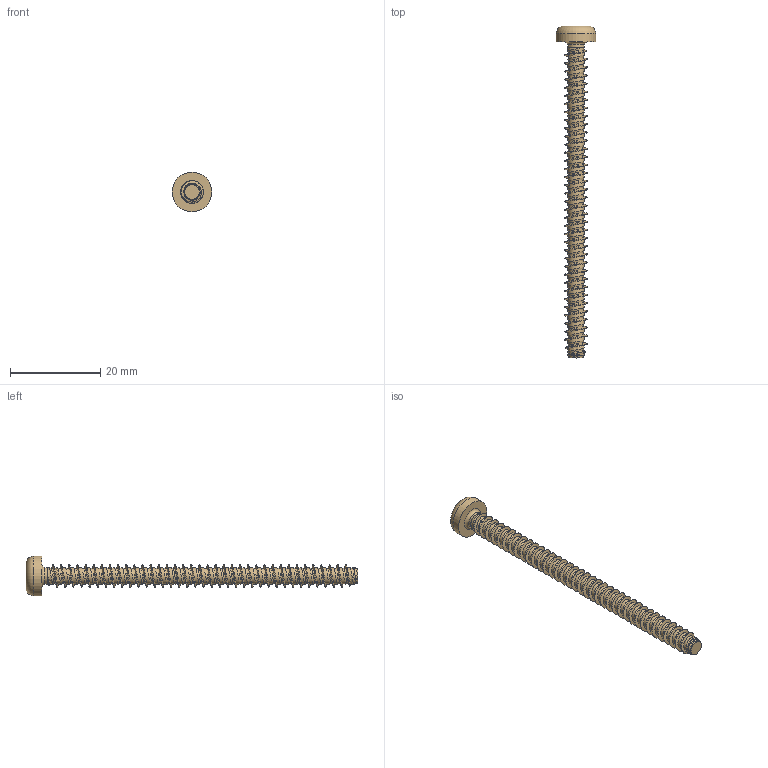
import cadquery as cq
import math

head_diameter = 8.8
head_height = 3.49
head_edge_radius = 1.75

shank_length = 70.0
neck_radius = 1.88
neck_length = 1.2
neck_fillet = 0.7
core_radius = 1.68
tip_chamfer = 0.05

pitch = 1.8
major_radius = 2.5
crest_width = 0.06
flank_half_angle = 11.0
crest_on_x_axis = 2.06
thread_root_radius = core_radius - 0.06
thread_start = 0.6
thread_end = 71.5

land_radius = 1.8
land_end_offset = 0.90
land_end_slope = 0.62

runout_margin = 0.06
runout_start = 1.0
full_thread_start = 2.3
full_thread_end = 67.2
ridge_end = 69.3
land_end = 69.9


def make_head_and_core():
    """Head, neck and core as one solid of revolution about the Y axis."""
    head_radius = head_diameter / 2
    arc_share = 1 - math.sqrt(0.5)
    edge_offset = head_edge_radius * arc_share
    fillet_offset = neck_fillet * arc_share
    profile = (
        cq.Workplane("XY")
        .moveTo(0, head_height)
        .lineTo(head_radius - head_edge_radius, head_height)
        .threePointArc(
            (head_radius - edge_offset, head_height - edge_offset),
            (head_radius, head_height - head_edge_radius),
        )
        .lineTo(head_radius, 0)
        .lineTo(neck_radius + neck_fillet, 0)
        .threePointArc(
            (neck_radius + fillet_offset, -fillet_offset),
            (neck_radius, -neck_fillet),
        )
        .lineTo(neck_radius, -neck_length)
        .lineTo(core_radius, -neck_length)
        .lineTo(core_radius, tip_chamfer - shank_length)
        .lineTo(core_radius - tip_chamfer, -shank_length)
        .lineTo(0, -shank_length)
        .close()
    )
    return profile.revolve(360, (0, 0, 0), (0, 1, 0))


def make_thread_section():
    """Ridge and land as (radius, distance toward the tip) from the middle of the ridge."""
    crest_half = crest_width / 2
    flank_slope = math.tan(math.radians(flank_half_angle))
    root_half = crest_half + (major_radius - thread_root_radius) * flank_slope
    land_foot = crest_half + (major_radius - land_radius) * flank_slope
    return [
        (thread_root_radius, -root_half),
        (major_radius, -crest_half),
        (major_radius, crest_half),
        (land_radius, land_foot),
        (land_radius, land_end_offset),
        (thread_root_radius, land_end_offset + land_end_slope),
    ]


def make_untrimmed_thread():
    """Thread section swept along the helix, with its axis turned onto -Y."""
    path = cq.Workplane(cq.Wire.makeHelix(pitch, thread_end - thread_start, core_radius))
    thread = cq.Workplane("XZ").polyline(make_thread_section()).close().sweep(path, isFrenet=True)
    start_angle = 360 * (thread_start - crest_on_x_axis) / pitch
    return (
        thread.rotate((0, 0, 0), (0, 0, 1), start_angle)
        .translate((0, 0, thread_start))
        .rotate((0, 0, 0), (1, 0, 0), 90)
    )


def make_runout_envelope():
    """Body of revolution that bounds the thread, with cones at its ends."""
    outer_radius = major_radius + runout_margin
    profile = cq.Workplane("XY").polyline(
        [
            (0, -runout_start),
            (core_radius, -runout_start),
            (outer_radius, -full_thread_start),
            (outer_radius, -full_thread_end),
            (land_radius + runout_margin, -ridge_end),
            (thread_root_radius, -land_end),
            (0, -land_end),
        ]
    ).close()
    return profile.revolve(360, (0, 0, 0), (0, 1, 0))


thread = make_untrimmed_thread().intersect(make_runout_envelope())
screw = make_head_and_core().union(thread)
result = screw.solids()